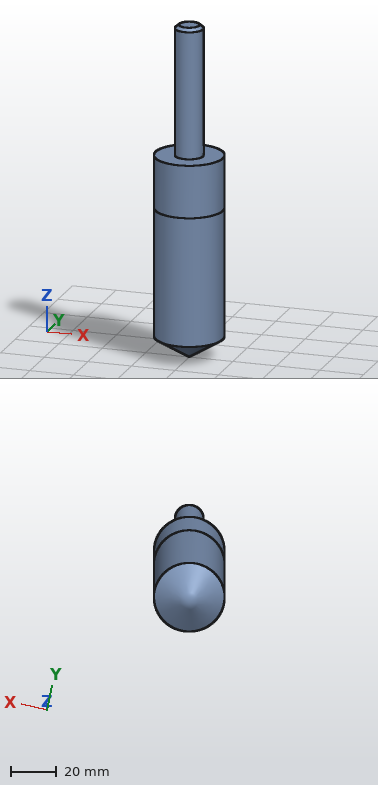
import cadquery as cq

total_height = 152.4
barrel_diameter = 31.0
shank_diameter = 12.6
tip_height = 9.6
joint_height = 68.6
shoulder_height = 92.7
chamfer_height = 1.5
chamfer_width = 1.8

barrel_radius = barrel_diameter / 2
shank_radius = shank_diameter / 2


def make_pointed_body():
    """Cylinder with a conical point at its lower end."""
    half_profile = (
        cq.Workplane("XZ")
        .lineTo(barrel_radius, tip_height)
        .lineTo(barrel_radius, joint_height)
        .lineTo(0, joint_height)
        .close()
    )
    return half_profile.revolve(360, (0, 0, 0), (0, 1, 0))


def make_shank_head():
    """Cylindrical head carrying a slim shank with a chamfered end."""
    half_profile = (
        cq.Workplane("XZ")
        .moveTo(0, joint_height)
        .lineTo(barrel_radius, joint_height)
        .lineTo(barrel_radius, shoulder_height)
        .lineTo(shank_radius, shoulder_height)
        .lineTo(shank_radius, total_height - chamfer_height)
        .lineTo(shank_radius - chamfer_width, total_height)
        .lineTo(0, total_height)
        .close()
    )
    return half_profile.revolve(360, (0, 0, 0), (0, 1, 0))


pointed_body = make_pointed_body()
shank_head = make_shank_head()

result = cq.Compound.makeCompound([pointed_body.val(), shank_head.val()])